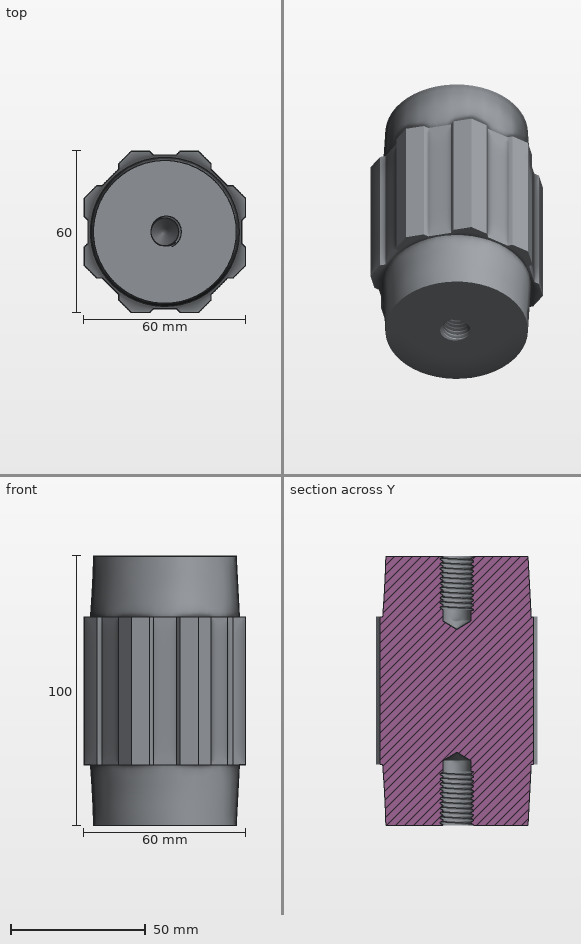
import cadquery as cq
import math

height = 100.0
across_flats = 60.0
grip_length = 55.0
mid_z = height / 2
end_length = (height - grip_length) / 2

face_count = 8
flute_depth = 1.4
flute_floor_width = 8.6

end_face_diameter = 53.0
end_draft_angle = 3.0

bore_diameter = 10.3
thread_diameter = 12.2
thread_pitch = 1.8
thread_depth = 20.0
bore_depth = 24.0
drill_point_angle = 118.0
ridge_crest_width = thread_pitch / 4
flank_angle = 30.0
thread_end_angle = -45.0
thread_runout = 0.5
ridge_overlap = 0.1
seam_angle = 90.0


def grip():
    """Octagonal grip with a shallow flute along every face."""
    corner_diameter = across_flats / math.cos(math.pi / face_count)
    body = (
        cq.Workplane("XY")
        .polygon(face_count, corner_diameter)
        .extrude(grip_length / 2, both=True)
        .rotate((0, 0, 0), (0, 0, 1), 180 / face_count)
    )
    face_y = across_flats / 2
    floor_y = face_y - flute_depth
    floor_x = flute_floor_width / 2
    mouth_x = floor_x + flute_depth
    flute = (
        cq.Workplane("XY")
        .polyline([(-floor_x, floor_y), (floor_x, floor_y), (mouth_x, face_y), (-mouth_x, face_y)])
        .close()
        .extrude(grip_length / 2, both=True)
    )
    for index in range(face_count):
        body = body.cut(flute.rotate((0, 0, 0), (0, 0, 1), index * 360 / face_count))
    return body


def end_boss():
    """Upper end: a conical boss that narrows from the grip to the end face."""
    root_z = grip_length / 2
    face_radius = end_face_diameter / 2
    root_radius = face_radius + end_length * math.tan(math.radians(end_draft_angle))
    return (
        cq.Workplane("XZ")
        .moveTo(0, 0)
        .lineTo(root_radius, 0)
        .lineTo(root_radius, root_z)
        .lineTo(face_radius, mid_z)
        .lineTo(0, mid_z)
        .close()
        .revolve(360, (0, 0, 0), (0, 1, 0))
    )


def thread_ridge():
    """Right-handed helical ridge with sloping flanks, ending just above the upper end face."""
    crest_radius = bore_diameter / 2
    base_radius = thread_diameter / 2 + ridge_overlap
    slope = math.tan(math.radians(flank_angle))
    crest_half = ridge_crest_width / 2
    base_half = crest_half + (base_radius - crest_radius) * slope
    helix_length = thread_depth + thread_pitch + thread_runout
    end_turn = helix_length / thread_pitch * 360
    path = cq.Workplane(cq.Wire.makeHelix(thread_pitch, helix_length, crest_radius))
    ridge = (
        cq.Workplane("XZ")
        .polyline([
            (crest_radius, -crest_half),
            (base_radius, -base_half),
            (base_radius, base_half),
            (crest_radius, crest_half),
        ])
        .close()
        .sweep(path, isFrenet=True)
    )
    return (
        ridge.rotate((0, 0, 0), (0, 0, 1), thread_end_angle - end_turn)
        .translate((0, 0, mid_z + thread_runout - helix_length))
    )


def threaded_hole():
    """Space removed by the upper hole: threaded length, plain bore and conical bottom."""
    bore_radius = bore_diameter / 2
    point_length = bore_radius / math.tan(math.radians(drill_point_angle / 2))
    thread_floor_z = mid_z - thread_depth
    bore_floor_z = mid_z - bore_depth
    threaded = (
        cq.Workplane("XY", origin=(0, 0, thread_floor_z))
        .circle(thread_diameter / 2)
        .extrude(thread_depth)
        .rotate((0, 0, 0), (0, 0, 1), seam_angle)
        .cut(thread_ridge())
    )
    drilled = (
        cq.Workplane("XZ")
        .polyline([
            (0, thread_floor_z),
            (bore_radius, thread_floor_z),
            (bore_radius, bore_floor_z),
            (0, bore_floor_z - point_length),
        ])
        .close()
        .revolve(360, (0, 0, 0), (0, 1, 0))
    )
    return threaded, drilled


boss = end_boss()
result = grip().union(boss).union(boss.mirror("XY"))
for space in threaded_hole():
    result = result.cut(space)
    result = result.cut(space.rotate((0, 0, 0), (1, 0, 0), 180))